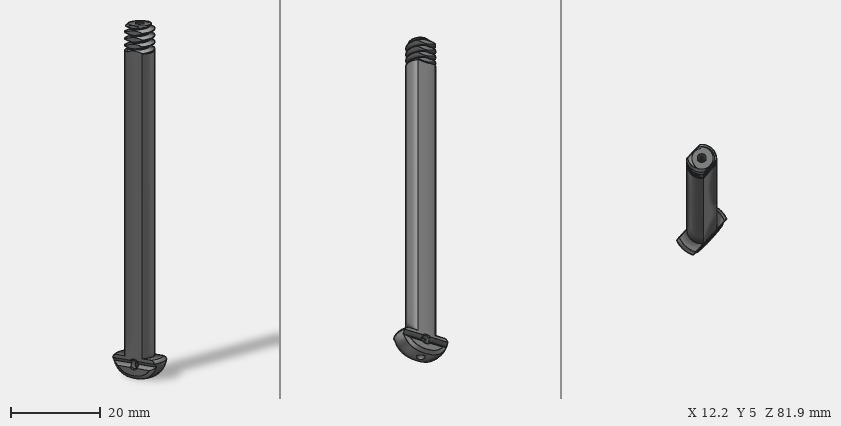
import cadquery as cq
import math

total_height = 81.85
flat_width = 5.0
half_flat = flat_width / 2
bore_diameter = 2.0

head_height = 5.1
head_width = 12.2
foot_radius = 1.2
rim_rounding = 0.7
rim_arc_radius = 1.1
dome_chamfer = 0.65

groove_height = 3.4
groove_half_width = 0.8
groove_depth = 0.7
cross_hole_diameter = 2.0
cross_hole_bevel = 0.25

shank_radius = 3.35
shank_top = 75.55
thread_root_radius = 2.2
thread_pitch = 1.55
ridge_width = 1.3
crest_width = 0.2
thread_overlap = 0.2
thread_left_crest = 81.3
tip_radius = 2.5


def between_flats(body):
    """Keep only the part of a body that lies between the two flat sides."""
    slab = cq.Workplane("XY").box(
        2 * head_width, flat_width, total_height, centered=(True, True, False)
    )
    return body.intersect(slab)


def make_dome():
    """Revolved head: an arc rises from the flat foot to the rim, which is rounded on top."""
    rim_radius = head_width / 2
    rim_height = head_height - rim_rounding
    rise = rim_radius - foot_radius
    dome_radius = (rise**2 + rim_height**2) / (2 * rim_height)
    half_angle = math.atan2(rim_height, rise)
    return (
        cq.Workplane("XZ")
        .lineTo(foot_radius, 0)
        .threePointArc(
            (
                foot_radius + dome_radius * math.sin(half_angle),
                dome_radius * (1 - math.cos(half_angle)),
            ),
            (rim_radius, rim_height),
        )
        .radiusArc((rim_radius - rim_rounding, head_height), -rim_arc_radius)
        .lineTo(0, head_height)
        .close()
        .revolve(360, (0, 0, 0), (0, 1, 0))
    )


def make_head():
    """Dome cut to the flat sides; its edges are bevelled below the groove only."""
    head = between_flats(make_dome())
    below = cq.Workplane("XY").circle(head_width).extrude(groove_height)
    upper = head.cut(below)
    lower = head.intersect(below).faces("<Y or >Y").edges("not |X").chamfer(dome_chamfer)
    return upper.union(lower)


def groove(side):
    """V groove along X in one flat side (side is -1 or +1)."""
    mouth = side * half_flat
    return (
        cq.Workplane("YZ")
        .moveTo(mouth, groove_height - groove_half_width)
        .lineTo(mouth - side * groove_depth, groove_height)
        .lineTo(mouth, groove_height + groove_half_width)
        .close()
        .extrude(head_width, both=True)
    )


def cross_hole():
    """Round hole through the head along Y, countersunk at both flat sides."""
    hole_radius = cross_hole_diameter / 2
    mouth_radius = hole_radius + cross_hole_bevel
    return (
        cq.Workplane("XY")
        .moveTo(0, -half_flat)
        .lineTo(mouth_radius, -half_flat)
        .lineTo(hole_radius, -half_flat + cross_hole_bevel)
        .lineTo(hole_radius, half_flat - cross_hole_bevel)
        .lineTo(mouth_radius, half_flat)
        .lineTo(0, half_flat)
        .close()
        .revolve(360, (0, 0, 0), (0, 1, 0))
        .translate((0, 0, groove_height))
    )


def make_shank():
    """Round bar with two flat sides, sunk into the head down to the rim."""
    shank_bottom = head_height - rim_rounding
    return between_flats(
        cq.Workplane("XY")
        .workplane(offset=shank_bottom)
        .circle(shank_radius)
        .extrude(shank_top - shank_bottom)
    )


def make_thread():
    """Right-handed thread, cut off at the shank top and at the end of the part."""
    spare_turns = 1
    turns_below = math.ceil((thread_left_crest - shank_top) / thread_pitch) + spare_turns
    turns_above = math.ceil((total_height - thread_left_crest) / thread_pitch) + spare_turns
    start = thread_left_crest - turns_below * thread_pitch
    helix_height = (turns_below + turns_above) * thread_pitch
    helix = cq.Wire.makeHelix(thread_pitch, helix_height, thread_root_radius)
    ridge = (
        cq.Workplane("XZ")
        .moveTo(thread_root_radius - thread_overlap, -ridge_width / 2)
        .lineTo(thread_root_radius, -ridge_width / 2)
        .lineTo(shank_radius, -crest_width / 2)
        .lineTo(shank_radius, crest_width / 2)
        .lineTo(thread_root_radius, ridge_width / 2)
        .lineTo(thread_root_radius - thread_overlap, ridge_width / 2)
        .close()
        .sweep(cq.Workplane(obj=helix), isFrenet=True)
        .rotate((0, 0, 0), (0, 0, 1), 180)
        .translate((0, 0, start))
    )
    length = total_height - shank_top
    stock = cq.Workplane("XY").workplane(offset=shank_top)
    core = stock.circle(thread_root_radius).extrude(length)
    envelope_radius = shank_radius + thread_overlap
    envelope = (
        stock.circle(envelope_radius)
        .extrude(length)
        .faces(">Z")
        .chamfer(envelope_radius - tip_radius)
    )
    return between_flats(core.union(ridge.intersect(envelope)))


result = make_head().union(make_shank()).union(make_thread())
for side in (-1, 1):
    result = result.cut(groove(side))
result = result.cut(cross_hole())
bore = cq.Workplane("XY").circle(bore_diameter / 2).extrude(total_height)
result = result.cut(bore)